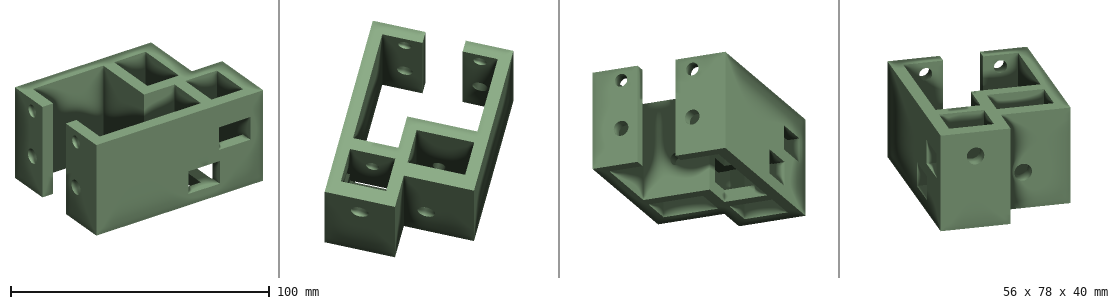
import cadquery as cq

width = 56.0
length = 78.05
height = 40.0

wall = 5.0
back_wall = 6.0
pocket_depth = 14.75
step_x = 27.95
left_length = 63.8
inner_step_x = step_x + wall
left_pocket_front = left_length - back_wall - pocket_depth
right_pocket_front = length - back_wall - pocket_depth
right_cavity_back = right_pocket_front - wall
left_cavity_back = left_pocket_front - wall

left_lip_end = 19.0
right_lip_start = 35.0

lip_hole_x = (12.0, 42.0)
upper_hole_z = 35.0
lower_hole_z = 15.0
upper_hole_diameter = 5.2
lower_hole_diameter = 6.2
divider_hole_diameter = 5.2
rear_hole_diameter = 7.0
left_rear_hole_x = 19.0
right_rear_hole_x = lip_hole_x[1]
right_rear_hole_z = 30.0

channel_height = 10.0
lower_channel_top = lower_hole_z
upper_channel_top = right_rear_hole_z


def block(x_start, x_end, y_start, y_end, z_start=0.0, z_end=height):
    """Box between the given limits."""
    size = (x_end - x_start, y_end - y_start, z_end - z_start)
    return cq.Workplane("XY").box(*size, centered=False).translate((x_start, y_start, z_start))


def hole_along_y(x, z, diameter, y_start, y_end):
    """Round cutter running toward +Y."""
    axis = cq.Vector(0, 1, 0)
    return cq.Solid.makeCylinder(diameter / 2, y_end - y_start, cq.Vector(x, y_start, z), axis)


body = block(0, width, 0, left_length).union(block(step_x, width, 0, length))

body = body.cut(block(wall, width - wall, wall, left_cavity_back))
body = body.cut(block(inner_step_x, width - wall, wall, right_cavity_back))
body = body.cut(block(left_lip_end, right_lip_start, 0, wall))

body = body.cut(block(wall, step_x, left_pocket_front, left_length - back_wall))
body = body.cut(block(inner_step_x, width - wall, right_pocket_front, length - back_wall))

for x_start, y_start, top in (
    (wall, left_pocket_front, lower_channel_top),
    (inner_step_x, right_pocket_front, upper_channel_top),
):
    body = body.cut(block(x_start, width, y_start, y_start + pocket_depth, top - channel_height, top))

for x in lip_hole_x:
    body = body.cut(hole_along_y(x, upper_hole_z, upper_hole_diameter, 0, wall))
    body = body.cut(hole_along_y(x, lower_hole_z, lower_hole_diameter, 0, wall))

for x, z, cavity_back, outer_back in (
    (left_rear_hole_x, lower_hole_z, left_cavity_back, left_length),
    (right_rear_hole_x, right_rear_hole_z, right_cavity_back, length),
):
    body = body.cut(hole_along_y(x, z, divider_hole_diameter, cavity_back, cavity_back + wall))
    body = body.cut(hole_along_y(x, z, rear_hole_diameter, outer_back - back_wall, outer_back))

result = body